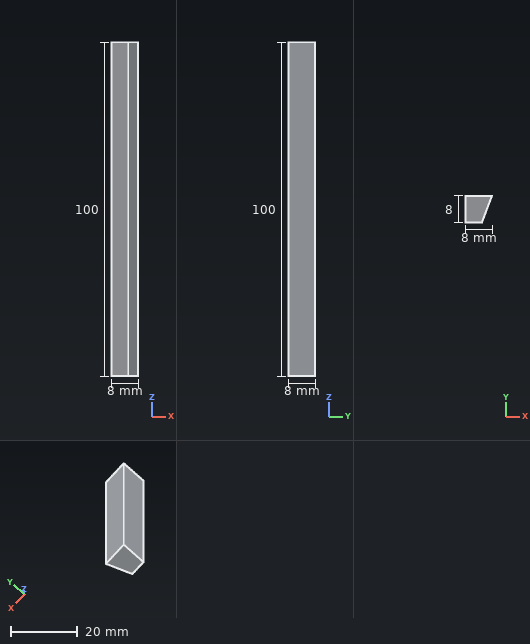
import cadquery as cq

length = 100.0
depth = 8.0
back_width = 8.0
front_width = 5.0

section = [
    (0, 0),
    (front_width, 0),
    (back_width, depth),
    (0, depth),
]

result = cq.Workplane("XY").polyline(section).close().extrude(length)